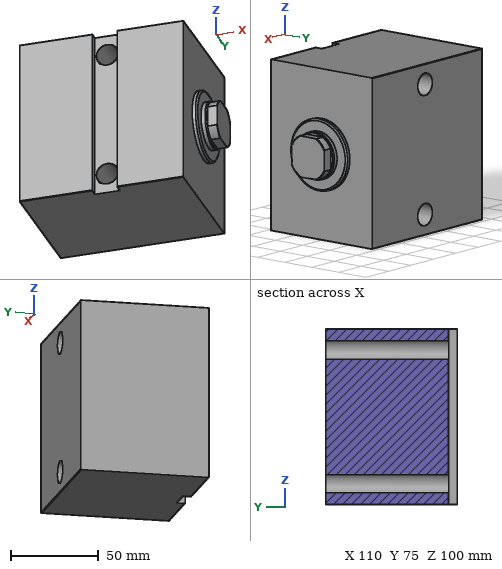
import cadquery as cq

overall_length = 110.0
block_depth = 75.0
block_height = 100.0
block_edge_chamfer = 0.3

slot_center_x = 50.9
slot_width = 15.0
slot_depth = 5.0
bolt_hole_diameter = 13.0
bolt_hole_spacing = 76.0

gland_diameter = 42.0
gland_thickness = 3.0
gland_chamfer = 1.0

rod_diameter = 28.0
shoulder_length = 3.3
shoulder_chamfer_length = 0.9
drive_diameter = 27.0
shoulder_chamfer_depth = (rod_diameter - drive_diameter) / 2
drive_across_flats = 24.0
drive_length = 5.7
drive_chamfer = 0.2

rod_length = gland_thickness + shoulder_length + drive_length
block_length = overall_length - rod_length


def make_block():
    """Block from x = 0, centred on the rod axis, with a slot and bolt holes."""
    block = (
        cq.Workplane("XY")
        .box(block_length, block_depth, block_height)
        .edges("|X")
        .chamfer(block_edge_chamfer)
        .translate((block_length / 2, 0, 0))
    )
    front_y = -block_depth / 2
    slot = (
        cq.Workplane("XY")
        .box(slot_width, 2 * slot_depth, block_height)
        .translate((slot_center_x, front_y, 0))
    )
    bolt_holes = (
        cq.Workplane("XZ", origin=(slot_center_x, 0, 0))
        .rarray(1.1, bolt_hole_spacing, 1, 2)
        .circle(bolt_hole_diameter / 2)
        .extrude(block_depth / 2, both=True)
    )
    return block.cut(slot).cut(bolt_holes)


def make_gland():
    """Ring seated on the block's end face, chamfered on its outer rim."""
    disc = (
        cq.Workplane("YZ", origin=(block_length, 0, 0))
        .circle(gland_diameter / 2)
        .extrude(gland_thickness)
        .faces(">X")
        .chamfer(gland_chamfer)
    )
    return disc.faces(">X").workplane().hole(rod_diameter)


def make_rod():
    """Rod through the gland, ending in a square drive."""
    shoulder_end = gland_thickness + shoulder_length
    shoulder = (
        cq.Workplane("YZ", origin=(block_length, 0, 0))
        .circle(rod_diameter / 2)
        .extrude(shoulder_end)
        .faces(">X")
        .edges()
        .chamfer(shoulder_chamfer_length, shoulder_chamfer_depth)
    )
    drive_base = cq.Workplane("YZ", origin=(block_length + shoulder_end, 0, 0))
    drive_round = (
        drive_base.circle(drive_diameter / 2)
        .extrude(drive_length)
        .faces(">X")
        .chamfer(drive_chamfer)
    )
    drive_square = drive_base.rect(drive_across_flats, drive_across_flats).extrude(drive_length)
    return shoulder.union(drive_round.intersect(drive_square))


block = make_block()
gland = make_gland()
rod = make_rod()

result = cq.Compound.makeCompound([block.val(), gland.val(), rod.val()])